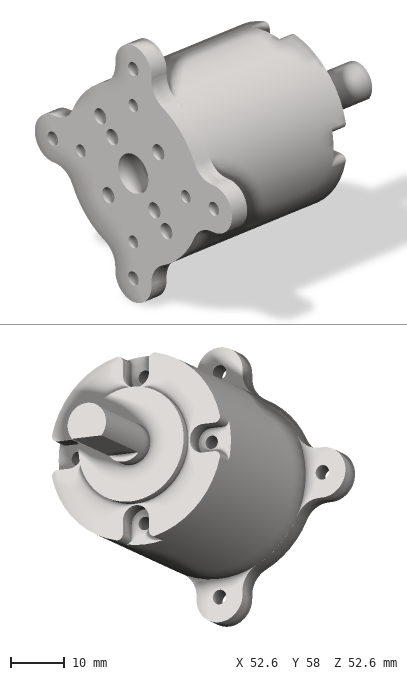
import cadquery as cq
import math

TOTAL_LENGTH = 58.05
FLANGE_THICKNESS = 3.95
CAN_END = 29.95
CAP_END = 38.05
BOSS_END = 40.0

BODY_RADIUS = 18.0
BOSS_RADIUS = 11.0

FLANGE_SPAN = 52.6
LOBE_RADIUS = 4.8
LOBE_FILLET = 5.0
LOBE_CENTRE = FLANGE_SPAN / 2 - LOBE_RADIUS
LOBE_HOLE_DIAMETER = 2.8
BORE_RADIUS = 4.0

SPIGOT_RADIUS = 11.2
SPIGOT_END = FLANGE_THICKNESS + BOSS_END - CAP_END

MOTOR_HOLE_DIAMETER = 3.2
MOTOR_HOLE_PAIRS = [(7.95, 135), (9.4, 45), (12.5, 135)]

SCREW_CIRCLE_RADIUS = 14.0
SCREW_HOLE_DIAMETER = 2.55

NOTCH_FLOOR = 34.45
NOTCH_DEPTH = CAP_END - NOTCH_FLOOR
NOTCH_WIDTH = 5.45
NOTCH_EDGE_FILLET = 1.1

SHAFT_RADIUS = 4.0
SHAFT_FLAT_START = 43.05
SHAFT_FLAT_HEIGHT = 2.55

QUARTER_TURNS = (0, 90, 180, 270)
SIZE_TOLERANCE = 0.005


def section(y):
    """Workplane across the axis at the given Y; extrusions run toward +Y, local X is -X."""
    return cq.Workplane(cq.Plane(origin=(0, y, 0), xDir=(-1, 0, 0), normal=(0, 1, 0)))


def cylinder(radius, start, end):
    return section(start).circle(radius).extrude(end - start)


def polar_point(radius, angle):
    """Local section point for an angle measured from +X toward +Z."""
    return (-radius * math.cos(math.radians(angle)), radius * math.sin(math.radians(angle)))


def hole_set(points, diameter, start, end):
    return section(start).pushPoints(points).circle(diameter / 2).extrude(end - start)


def screw_holes():
    points = [polar_point(SCREW_CIRCLE_RADIUS, angle) for angle in QUARTER_TURNS]
    return hole_set(points, SCREW_HOLE_DIAMETER, 0, CAP_END)


def corner_edges(body, length):
    """Axial edges of the given length that lie on the outer radius of the body."""
    def on_outer_radius(edge):
        centre = edge.Center()
        at_radius = abs(math.hypot(centre.x, centre.z) - BODY_RADIUS) < SIZE_TOLERANCE
        return at_radius and abs(edge.Length() - length) < SIZE_TOLERANCE

    return body.edges("|Y").filter(on_outer_radius)


def make_flange_plate():
    """Disc with four round-ended lobes, blended into the disc."""
    arms = (
        section(0)
        .slot2D(FLANGE_SPAN, 2 * LOBE_RADIUS)
        .slot2D(FLANGE_SPAN, 2 * LOBE_RADIUS, 90)
        .extrude(FLANGE_THICKNESS)
    )
    plate = cylinder(BODY_RADIUS, 0, FLANGE_THICKNESS).union(arms).clean()
    return corner_edges(plate, FLANGE_THICKNESS).fillet(LOBE_FILLET)


def make_flange():
    """Mounting flange with a centring spigot that enters the can."""
    lobe_points = [polar_point(LOBE_CENTRE, angle) for angle in QUARTER_TURNS]
    motor_points = [
        polar_point(radius, angle + turn)
        for radius, angle in MOTOR_HOLE_PAIRS
        for turn in (0, 180)
    ]
    return (
        make_flange_plate()
        .union(cylinder(SPIGOT_RADIUS, FLANGE_THICKNESS, SPIGOT_END))
        .cut(cylinder(BORE_RADIUS, 0, SPIGOT_END))
        .cut(hole_set(lobe_points, LOBE_HOLE_DIAMETER, 0, FLANGE_THICKNESS))
        .cut(hole_set(motor_points, MOTOR_HOLE_DIAMETER, 0, SPIGOT_END))
        .cut(screw_holes())
    )


def make_can():
    """Cylindrical gearbox can with a recess for the flange spigot."""
    recess = cylinder(SPIGOT_RADIUS, FLANGE_THICKNESS, SPIGOT_END)
    return cylinder(BODY_RADIUS, FLANGE_THICKNESS, CAN_END).cut(recess).cut(screw_holes())


def notch_cutter(angle):
    """Slot with a round inner end at a screw hole, open to the outside of the cap."""
    inner_end = SCREW_CIRCLE_RADIUS - NOTCH_WIDTH / 2
    outer_end = BODY_RADIUS + NOTCH_WIDTH
    slot_middle = (inner_end + outer_end) / 2
    return (
        section(NOTCH_FLOOR)
        .center(*polar_point(slot_middle, angle))
        .slot2D(outer_end - inner_end, NOTCH_WIDTH, angle)
        .extrude(NOTCH_DEPTH)
    )


def make_cap():
    """End cap with a round boss, four rounded screw notches and the shaft bore."""
    cap = cylinder(BODY_RADIUS, CAN_END, CAP_END)
    for angle in QUARTER_TURNS:
        cap = cap.cut(notch_cutter(angle))
    cap = corner_edges(cap, NOTCH_DEPTH).fillet(NOTCH_EDGE_FILLET)
    return (
        cap.union(cylinder(BOSS_RADIUS, CAP_END, BOSS_END))
        .cut(screw_holes())
        .cut(cylinder(SHAFT_RADIUS, CAN_END, BOSS_END))
    )


def make_shaft():
    """Round output shaft, seated on the can, with a flat along its -Z side."""
    flat_cutter = (
        section(SHAFT_FLAT_START)
        .center(0, -SHAFT_FLAT_HEIGHT - SHAFT_RADIUS)
        .rect(2 * SHAFT_RADIUS, 2 * SHAFT_RADIUS)
        .extrude(TOTAL_LENGTH - SHAFT_FLAT_START)
    )
    return cylinder(SHAFT_RADIUS, CAN_END, TOTAL_LENGTH).cut(flat_cutter)


flange = make_flange().solids().val()
can = make_can().solids().val()
cap = make_cap().solids().val()
shaft = make_shaft().solids().val()

result = cq.Compound.makeCompound([flange, can, cap, shaft])